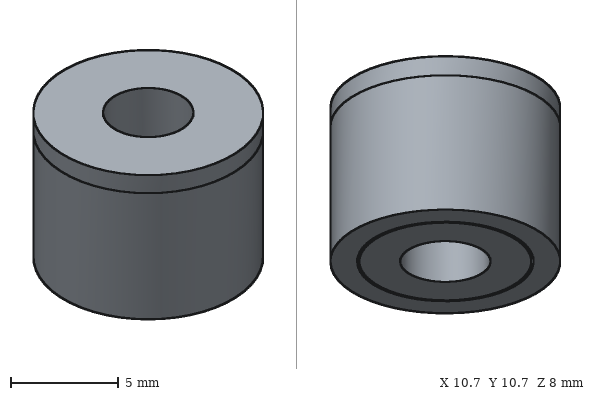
import cadquery as cq

outer_diameter = 10.7
bore_diameter = 4.2
total_height = 8.0
flange_thickness = 1.0
barrel_diameter = 8.0
sleeve_bore_diameter = 8.2

sleeve_height = total_height - flange_thickness


def make_ring(outside, inside, base_z, height):
    """Round ring about the Z axis, rising from base_z."""
    return (
        cq.Workplane("XY", origin=(0, 0, base_z))
        .circle(outside / 2)
        .circle(inside / 2)
        .extrude(height)
    )


def make_sleeve():
    """Outer sleeve standing on Z = 0, with a small clearance around the barrel."""
    return make_ring(outer_diameter, sleeve_bore_diameter, 0, sleeve_height)


def make_bushing():
    """Flanged bushing: a barrel inside the sleeve and a flange resting on top of it."""
    barrel = make_ring(barrel_diameter, bore_diameter, 0, total_height)
    flange = make_ring(outer_diameter, bore_diameter, sleeve_height, flange_thickness)
    return barrel.union(flange).solids()


sleeve = make_sleeve()
bushing = make_bushing()

result = cq.Compound.makeCompound([sleeve.val(), bushing.val()])